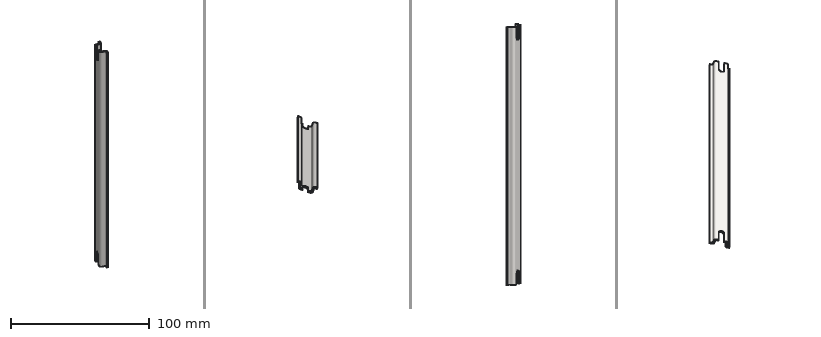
import cadquery as cq

rail_length = 190.0
rail_width = 15.0
rail_depth = 5.5

sheet = 1.2
channel_width = 10.9
inner_bend_radius = 0.5
outer_bend_radius = inner_bend_radius + sheet

slot_width = 4.2
slot_length = 10.0

half_rail = rail_width / 2
half_outside = channel_width / 2
half_inside = half_outside - sheet
flange_underside = rail_depth - sheet


def sharp_rail():
    """Hat-section rail with square bends: base on Y = 0, flanges at full depth."""
    return (
        cq.Workplane("XY")
        .moveTo(-half_outside, 0)
        .lineTo(half_outside, 0)
        .lineTo(half_outside, flange_underside)
        .lineTo(half_rail, flange_underside)
        .lineTo(half_rail, rail_depth)
        .lineTo(half_inside, rail_depth)
        .lineTo(half_inside, sheet)
        .lineTo(-half_inside, sheet)
        .lineTo(-half_inside, rail_depth)
        .lineTo(-half_rail, rail_depth)
        .lineTo(-half_rail, flange_underside)
        .lineTo(-half_outside, flange_underside)
        .close()
        .extrude(rail_length)
    )


def corner_selector(x, y):
    """Selects the lengthwise edge that passes through (x, y)."""
    margin = sheet / 4
    return cq.selectors.BoxSelector(
        (x - margin, y - margin, 0),
        (x + margin, y + margin, rail_length),
    )


def round_corner_pair(body, half_width, y, radius):
    """Rounds the two lengthwise edges at X = +/- half_width and Y = y."""
    both_sides = corner_selector(-half_width, y) + corner_selector(half_width, y)
    return body.edges("|Z").edges(both_sides).fillet(radius)


def bent_rail():
    """Rail with constant sheet thickness through every bend."""
    body = sharp_rail()
    body = round_corner_pair(body, half_outside, 0, outer_bend_radius)
    body = round_corner_pair(body, half_inside, sheet, inner_bend_radius)
    body = round_corner_pair(body, half_inside, rail_depth, outer_bend_radius)
    body = round_corner_pair(body, half_outside, flange_underside, inner_bend_radius)
    return body


def end_slot(end_z):
    """Cutter through the base for a round-bottomed slot; its outer half lies past the end."""
    along_rail = 90
    return (
        cq.Workplane("XZ")
        .center(0, end_z)
        .slot2D(2 * slot_length, slot_width, along_rail)
        .extrude(-sheet)
    )


result = bent_rail()
for rail_end in (0, rail_length):
    result = result.cut(end_slot(rail_end))